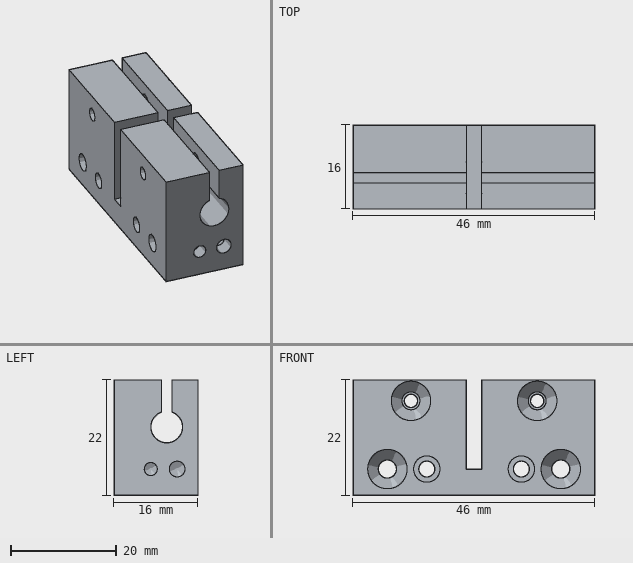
import cadquery as cq
import math

LENGTH = 46.0
DEPTH = 16.0
HEIGHT = 22.0
CENTRE_X = LENGTH / 2

BORE_DIAMETER = 6.0
BORE_Y = 6.0
BORE_Z = 13.0
SLIT_WIDTH = 2.0

SCREW_CLEARANCE = 3.4
SCREW_TAP = 2.5
COUNTERSINK_DIAMETER = 7.5
DOWEL_DIAMETER = 3.0
COUNTERBORE_DIAMETER = 5.0
COUNTERBORE_DEPTH = 8.0

LOWER_Z = 5.0
CLAMP_SCREW_Z = 18.0
CLAMP_SCREW_SPACING = 24.0
MOUNTING_SCREW_SPACING = 33.0
DOWEL_SPACING = 18.0

CROSS_SLOT_WIDTH = 2.9

END_HOLE_DEPTH = 3.0
DRILL_POINT_ANGLE = 118.0
END_TAP_Y = 9.0
END_DOWEL_Y = 4.0


def front_cylinder(x, z, diameter, depth):
    """Cylinder running from the front face in the +Y direction."""
    return cq.Workplane(cq.Solid.makeCylinder(
        diameter / 2, depth, cq.Vector(x, 0, z), cq.Vector(0, 1, 0)))


def countersink(x, z):
    """90 degree cone that narrows to the screw clearance diameter."""
    cone_depth = (COUNTERSINK_DIAMETER - SCREW_CLEARANCE) / 2
    return cq.Workplane(cq.Solid.makeCone(
        COUNTERSINK_DIAMETER / 2, SCREW_CLEARANCE / 2, cone_depth,
        cq.Vector(x, 0, z), cq.Vector(0, 1, 0)))


def end_hole(y, diameter):
    """Blind hole in the left end, finished by a conical drill point."""
    radius = diameter / 2
    point_length = radius / math.tan(math.radians(DRILL_POINT_ANGLE / 2))
    axis = cq.Vector(1, 0, 0)
    shank = cq.Solid.makeCylinder(radius, END_HOLE_DEPTH, cq.Vector(0, y, LOWER_Z), axis)
    point = cq.Solid.makeCone(radius, 0, point_length, cq.Vector(END_HOLE_DEPTH, y, LOWER_Z), axis)
    return cq.Workplane(shank).union(cq.Workplane(point))


result = cq.Workplane().box(LENGTH, DEPTH, HEIGHT, centered=False)

bore = cq.Workplane(cq.Solid.makeCylinder(
    BORE_DIAMETER / 2, LENGTH, cq.Vector(0, BORE_Y, BORE_Z), cq.Vector(1, 0, 0)))
slit = (
    cq.Workplane()
    .box(LENGTH, SLIT_WIDTH, HEIGHT - BORE_Z, centered=(False, True, False))
    .translate((0, BORE_Y, BORE_Z))
)
result = result.cut(bore).cut(slit)

cross_slot = (
    cq.Workplane()
    .box(CROSS_SLOT_WIDTH, DEPTH, HEIGHT - LOWER_Z, centered=(True, False, False))
    .translate((CENTRE_X, 0, LOWER_Z))
)
result = result.cut(cross_slot)

for side in (-1, 1):
    clamp_x = CENTRE_X + side * CLAMP_SCREW_SPACING / 2
    result = result.cut(countersink(clamp_x, CLAMP_SCREW_Z))
    result = result.cut(front_cylinder(clamp_x, CLAMP_SCREW_Z, SCREW_CLEARANCE, BORE_Y))
    result = result.cut(front_cylinder(clamp_x, CLAMP_SCREW_Z, SCREW_TAP, DEPTH))

    mounting_x = CENTRE_X + side * MOUNTING_SCREW_SPACING / 2
    result = result.cut(countersink(mounting_x, LOWER_Z))
    result = result.cut(front_cylinder(mounting_x, LOWER_Z, SCREW_CLEARANCE, DEPTH))

    dowel_x = CENTRE_X + side * DOWEL_SPACING / 2
    result = result.cut(front_cylinder(dowel_x, LOWER_Z, COUNTERBORE_DIAMETER, COUNTERBORE_DEPTH))
    result = result.cut(front_cylinder(dowel_x, LOWER_Z, DOWEL_DIAMETER, DEPTH))

result = result.cut(end_hole(END_TAP_Y, SCREW_TAP))
result = result.cut(end_hole(END_DOWEL_Y, DOWEL_DIAMETER))